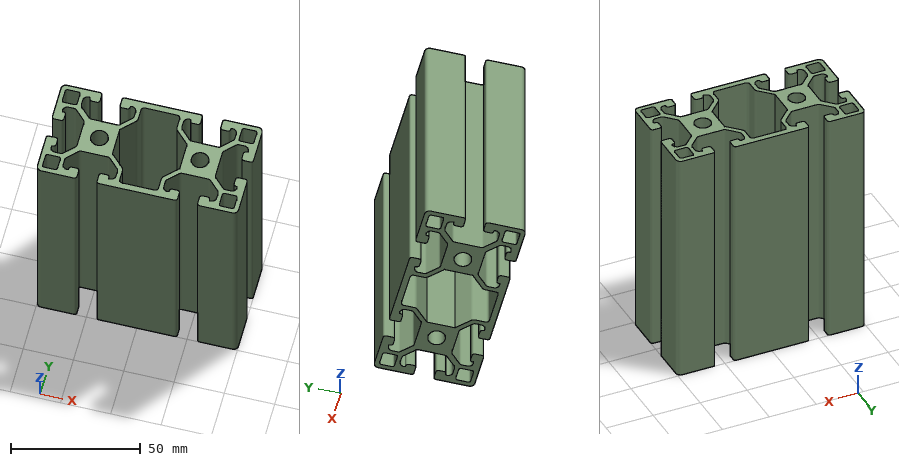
import cadquery as cq
import math

module = 40.0
half_module = module / 2
length = 100.0
corner_radius = 2.0
bore_diameter = 6.8

slot_half_width = 4.0
lip_depth = 4.6
hook_half_width = 8.0
hook_groove_depth = 3.1
chamber_half_width = 10.5
chamber_wall_depth = 7.8
slot_floor_depth = 12.5
slot_floor_half_width = chamber_half_width - (slot_floor_depth - chamber_wall_depth)
lip_face_radius = 1.0
lip_inner_radius = 1.0
hook_groove_radius = 1.9
hook_root_radius = 0.3
chamber_radius = 1.5

channel_inset = 1.9
channel_size = 5.9
channel_radius = 0.9

cavity_face_wall = 2.5
cavity_half_width = 7.7
cavity_half_height = half_module - cavity_face_wall
cavity_nose_half_height = 5.6
cavity_nose_reach = 13.4
cavity_shoulder_y = cavity_nose_half_height + cavity_nose_reach - cavity_half_width
cavity_corner_radius = 1.3
cavity_shoulder_radius = 2.0


def unit_vector(start, end):
    distance = math.dist(start, end)
    return ((end[0] - start[0]) / distance, (end[1] - start[1]) / distance)


def rounded_prism(corners):
    """Extrude a closed polygon of (x, y, radius) corners; a zero radius leaves the corner sharp."""
    path = cq.Workplane("XY")
    for index, (x, y, radius) in enumerate(corners):
        move = path.lineTo if index else path.moveTo
        if radius == 0:
            path = move(x, y)
            continue
        following = corners[(index + 1) % len(corners)]
        to_previous = unit_vector((x, y), corners[index - 1][:2])
        to_next = unit_vector((x, y), following[:2])
        half_angle = math.acos(to_previous[0] * to_next[0] + to_previous[1] * to_next[1]) / 2
        tangent_length = radius / math.tan(half_angle)
        arc_gap = radius / math.sin(half_angle) - radius
        bisector = unit_vector((0, 0), (to_previous[0] + to_next[0], to_previous[1] + to_next[1]))
        arc_start = (x + tangent_length * to_previous[0], y + tangent_length * to_previous[1])
        arc_middle = (x + arc_gap * bisector[0], y + arc_gap * bisector[1])
        arc_end = (x + tangent_length * to_next[0], y + tangent_length * to_next[1])
        path = move(*arc_start).threePointArc(arc_middle, arc_end)
    return path.close().extrude(length)


def mirrored_outline(half):
    """Complete a half outline by mirroring it across the Y axis."""
    return half + [(-x, y, radius) for x, y, radius in reversed(half)]


def t_slot():
    """Slot cutter that opens towards -Y, with the face of the bar at y = 0."""
    mouth_half_width = slot_half_width + 2 * lip_face_radius
    half = [
        (mouth_half_width, -lip_face_radius, 0),
        (mouth_half_width, 0, 0),
        (slot_half_width, 0, lip_face_radius),
        (slot_half_width, lip_depth, lip_inner_radius),
        (hook_half_width, lip_depth, lip_inner_radius),
        (hook_half_width, hook_groove_depth, hook_root_radius),
        (chamber_half_width, hook_groove_depth, hook_groove_radius),
        (chamber_half_width, chamber_wall_depth, chamber_radius),
        (slot_floor_half_width, slot_floor_depth, chamber_radius),
    ]
    return rounded_prism(mirrored_outline(half))


def central_cavity():
    upper_right = [
        (cavity_nose_reach, cavity_nose_half_height, 0),
        (cavity_half_width, cavity_shoulder_y, cavity_shoulder_radius),
        (cavity_half_width, cavity_half_height, cavity_corner_radius),
    ]
    right = [(x, -y, radius) for x, y, radius in reversed(upper_right)] + upper_right
    return rounded_prism(mirrored_outline(right))


def corner_channels():
    spread = half_module - channel_inset - channel_size / 2
    centers = [(sx * (half_module + spread), sy * spread) for sx in (-1, 1) for sy in (-1, 1)]
    channels = cq.Workplane("XY").pushPoints(centers).rect(channel_size, channel_size).extrude(length)
    return channels.edges("|Z").fillet(channel_radius)


bar = cq.Workplane("XY").rect(2 * module, module).extrude(length).edges("|Z").fillet(corner_radius)

front_slot = t_slot().translate((0, -half_module, 0))
end_slot = t_slot().translate((0, -module, 0))
for side in (-1, 1):
    for turn in (0, 180):
        slot = front_slot.rotate((0, 0, 0), (0, 0, 1), turn)
        bar = bar.cut(slot.translate((side * half_module, 0, 0)))
    bar = bar.cut(end_slot.rotate((0, 0, 0), (0, 0, 1), side * 90))

bar = bar.cut(central_cavity()).cut(corner_channels())

bores = (
    cq.Workplane("XY")
    .pushPoints([(-half_module, 0), (half_module, 0)])
    .circle(bore_diameter / 2)
    .extrude(length)
)
result = bar.cut(bores)